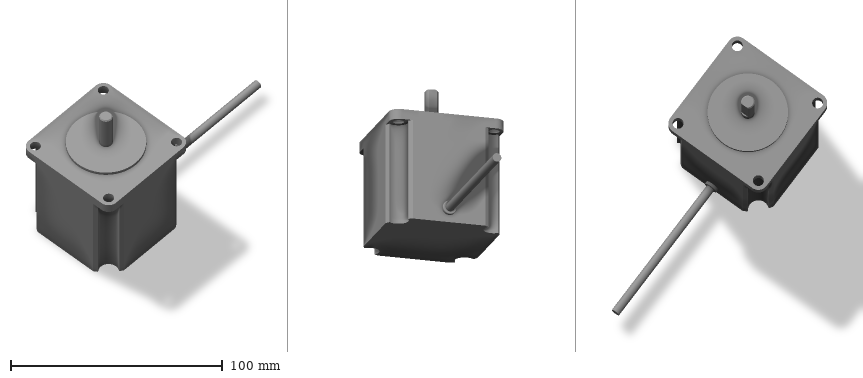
import cadquery as cq
import math

overall_length = 133.5
body_width = 56.3
overall_height = 74.6
half_width = body_width / 2

flange_thickness = 5.0
flange_corner_radius = 4.8
hole_pitch = 47.1
hole_diameter = 5.2

pilot_diameter = 38.0
pilot_height = 1.6
shaft_diameter = 6.4
shaft_length = 19.0
shaft_chamfer = 0.5
flat_distance = 2.5
flat_length = 15.0

groove_radius = 5.0
lip_start = 17.9
lip_end = 19.8
lip_drop = 1.2

cable_diameter = 4.3
cable_height = 7.0
collar_diameter = 6.8
collar_length = 1.6
collar_fillet = 0.4

pilot_base = overall_height - shaft_length - pilot_height
shaft_base = pilot_base + pilot_height
case_height = pilot_base - flange_thickness


def corner_groove_cutter():
    """Prism that hollows the +X +Y corner of the case, with sloping lips."""
    center = hole_pitch / 2
    lip_level = half_width - lip_drop
    arc_end = center + math.sqrt(groove_radius**2 - (center - lip_end) ** 2)
    arc_middle = center - groove_radius / math.sqrt(2)
    return (
        cq.Workplane("XY")
        .moveTo(lip_start, half_width)
        .lineTo(lip_end, lip_level)
        .lineTo(lip_end, arc_end)
        .threePointArc((arc_middle, arc_middle), (arc_end, lip_end))
        .lineTo(lip_level, lip_end)
        .lineTo(half_width, lip_start)
        .lineTo(body_width, lip_start)
        .lineTo(body_width, body_width)
        .lineTo(lip_start, body_width)
        .close()
        .extrude(case_height)
    )


def case():
    """Square motor case with a groove along each vertical corner."""
    block = cq.Workplane("XY").rect(body_width, body_width).extrude(case_height)
    cutter = corner_groove_cutter()
    for quarter_turn in range(4):
        block = block.cut(cutter.rotate((0, 0, 0), (0, 0, 1), 90 * quarter_turn))
    return block


def flange():
    """Rounded square mounting plate with four through holes."""
    return (
        cq.Workplane("XY", origin=(0, 0, case_height))
        .rect(body_width, body_width)
        .extrude(flange_thickness)
        .edges("|Z")
        .fillet(flange_corner_radius)
        .faces(">Z")
        .workplane()
        .rect(hole_pitch, hole_pitch, forConstruction=True)
        .vertices()
        .hole(hole_diameter)
    )


def pilot():
    """Round locating boss on top of the flange."""
    return cq.Workplane("XY", origin=(0, 0, pilot_base)).circle(pilot_diameter / 2).extrude(pilot_height)


def shaft():
    """Output shaft with a chamfered tip and a flat on its +Y side."""
    rod = (
        cq.Workplane("XY", origin=(0, 0, shaft_base))
        .circle(shaft_diameter / 2)
        .extrude(shaft_length)
        .faces(">Z")
        .chamfer(shaft_chamfer)
    )
    flat_cutter = cq.Workplane("XY", origin=(0, flat_distance, overall_height - flat_length)).box(
        shaft_diameter, shaft_diameter, flat_length, centered=(True, False, False)
    )
    return rod.cut(flat_cutter)


def cable():
    """Cable leaving the +Y face of the case through a rounded collar."""
    face = cq.Workplane("XZ", origin=(0, half_width, cable_height))
    collar = (
        face.circle(collar_diameter / 2)
        .extrude(-collar_length)
        .faces(">Y")
        .edges()
        .fillet(collar_fillet)
    )
    cord = face.circle(cable_diameter / 2).extrude(-(overall_length - body_width))
    return collar.union(cord)


result = case().union(flange()).union(pilot()).union(shaft()).union(cable())